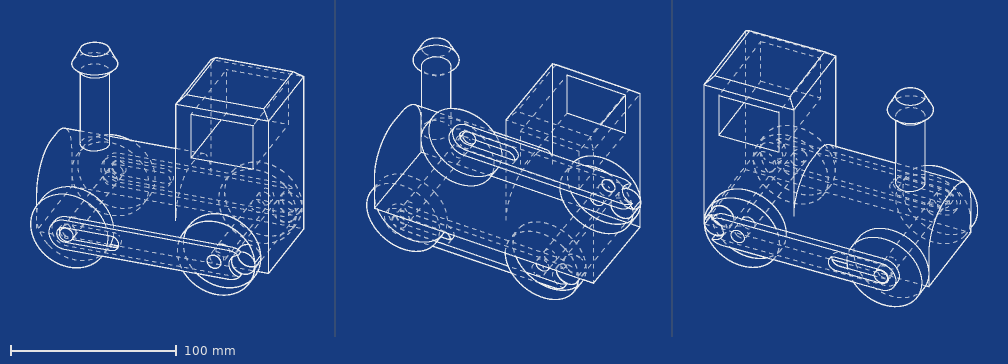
import cadquery as cq

body_length = 150.0
body_width = 60.0
half_width = body_width / 2
cab_length = 60.0
cab_height = 110.0
roof_chamfer = 5.0
boiler_length = body_length - cab_length
boiler_height = 50.0
boiler_round = 25.0
window_margin = 10.0
window_height = 30.0
window_sill = cab_height - window_margin - window_height

chimney_x = 26.3
stack_radius = 17.82 / 2
stack_height = 50.0
cap_radius = 14.0
cap_flare_height = 5.0
cap_height = 15.0

axle_diameter = 8.92
axle_z = 10.0
front_axle_x = 25.0
rear_axle_x = 120.4
wheel_diameter = 50.0
wheel_width = 10.0
wheel_face = half_width + wheel_width
axle_length = 90.0

rim_wall = 0.12
rim_x = 120.0
rim_z = 9.88
right_rim_drop = 0.26
cross_hole_diameter = 15.0
cross_hole_x = rim_x + (wheel_diameter - cross_hole_diameter) / 2
tube_wall = 0.12

rod_width = 20.0
rod_span = 106.0
slot_width = 10.0
slot_span = 30.0
right_rod_thickness = 5.0
left_rod_thickness = 4.7
left_rod_shift_x = -1.3
left_rod_shift_z = -0.45


def cross_cylinder(x, z, diameter, y_start, length):
    """Cylinder along +Y, starting at y_start."""
    return (
        cq.Workplane("XZ", origin=(x, y_start, z))
        .circle(diameter / 2)
        .extrude(-length)
    )


def cross_slot(x, z, span, width, y_start, length):
    """Round-ended bar along +Y whose first end is centred on (x, z)."""
    return (
        cq.Workplane("XZ", origin=(x + span / 2, y_start, z))
        .slot2D(span + width, width)
        .extrude(-length)
    )


def make_axle(x):
    return cross_cylinder(x, axle_z, axle_diameter, -axle_length / 2, axle_length)


def make_cross_hole():
    return cross_cylinder(cross_hole_x, axle_z, cross_hole_diameter, -axle_length / 2, axle_length)


def thin_ring(x, z, inner_diameter, wall, y_start):
    """Open ring as wide as a wheel, with its wall outside the inner diameter."""
    outer = cross_cylinder(x, z, inner_diameter + 2 * wall, y_start, wheel_width)
    inner = cross_cylinder(x, z, inner_diameter, y_start, wheel_width)
    return outer.cut(inner)


def make_chimney():
    base_z = boiler_height - boiler_round
    stack_top = boiler_height + stack_height
    profile = [
        (0, base_z),
        (stack_radius, base_z),
        (stack_radius, stack_top),
        (cap_radius, stack_top + cap_flare_height),
        (stack_radius, stack_top + cap_height),
        (0, stack_top + cap_height),
    ]
    return (
        cq.Workplane("XZ")
        .polyline(profile)
        .close()
        .revolve(360, (0, 0), (0, 1))
        .translate((chimney_x, 0, 0))
    )


def make_body():
    boiler = (
        cq.Workplane("XY")
        .box(boiler_length, body_width, boiler_height, centered=(False, True, False))
        .edges("|X and >Z")
        .fillet(boiler_round)
    )
    cab = (
        cq.Workplane("XY", origin=(boiler_length, 0, 0))
        .box(cab_length, body_width, cab_height, centered=(False, True, False))
        .faces(">Z")
        .chamfer(roof_chamfer)
    )
    window = cq.Workplane("XY", origin=(boiler_length + window_margin, 0, window_sill)).box(
        cab_length - 2 * window_margin, body_width, window_height, centered=(False, True, False)
    )
    body = boiler.union(cab).union(make_chimney()).cut(window).cut(make_cross_hole())
    for axle in axles:
        body = body.cut(axle)
    return body


def make_front_wheel(y_start):
    wheel = cross_cylinder(front_axle_x, axle_z, wheel_diameter, y_start, wheel_width)
    return wheel.cut(front_axle)


def make_rear_wheel(y_start, drop):
    """Thin rim and tube meeting where the cross hole touches the rim."""
    z = rim_z - drop
    rim = thin_ring(rim_x, z, wheel_diameter, rim_wall, y_start)
    tube = thin_ring(cross_hole_x, z, cross_hole_diameter, tube_wall, y_start)
    return rim.union(tube)


def make_rod(y_start, thickness, shift_x, shift_z):
    """Coupling rod: slot around the front axle, bore on the rear axle, end notched by the cross hole."""
    x = front_axle_x + shift_x
    z = axle_z + shift_z
    rod = cross_slot(x, z, rod_span, rod_width, y_start, thickness)
    slot = cross_slot(x, z, slot_span, slot_width, y_start, thickness)
    return rod.cut(slot).cut(rear_axle).cut(make_cross_hole())


front_axle = make_axle(front_axle_x)
rear_axle = make_axle(rear_axle_x)
axles = [front_axle, rear_axle]
body = make_body()

wheels = []
for y_start, rear_drop in ((-wheel_face, 0), (half_width, right_rim_drop)):
    wheels.append(make_front_wheel(y_start))
    wheels.append(make_rear_wheel(y_start, rear_drop))

left_rod = make_rod(
    -wheel_face - left_rod_thickness, left_rod_thickness, left_rod_shift_x, left_rod_shift_z
)
right_rod = make_rod(wheel_face, right_rod_thickness, 0, 0)

bodies = [body, *wheels, *axles, left_rod, right_rod]
result = cq.Compound.makeCompound([body_part.solids().val() for body_part in bodies])